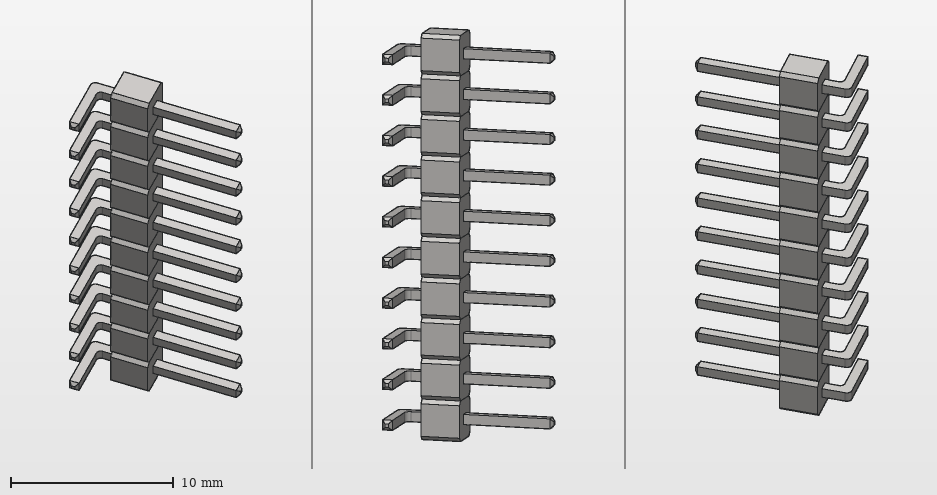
import cadquery as cq

UNIT_COUNT = 10
COLUMN_HEIGHT = 25.4
PITCH = COLUMN_HEIGHT / UNIT_COUNT

BLOCK_START = 1.83
BLOCK_LENGTH = 2.46
BLOCK_DEPTH = 2.41
BLOCK_CHAMFER = 0.25

PIN_THICKNESS = 0.64
PIN_REACH = 10.0
LEG_TIP_TO_BLOCK_BACK = 4.8
LEG_REACH = LEG_TIP_TO_BLOCK_BACK - BLOCK_DEPTH / 2
OUTER_BEND_RADIUS = 0.33
INNER_BEND_RADIUS = 0.3
TIP_CHAMFER = 0.2


def make_block():
    """Block centred on Y and Z, chamfered along its four edges parallel to X."""
    return (
        cq.Workplane("XY")
        .box(BLOCK_LENGTH, BLOCK_DEPTH, PITCH, centered=(False, True, True))
        .edges("|X")
        .chamfer(BLOCK_CHAMFER)
        .translate((BLOCK_START, 0, 0))
    )


def make_pin():
    """L-shaped square pin with a rounded bend and a tapered tip at both ends."""
    half = PIN_THICKNESS / 2
    outline = [
        (0, half),
        (PIN_REACH, half),
        (PIN_REACH, -half),
        (PIN_THICKNESS, -half),
        (PIN_THICKNESS, -LEG_REACH),
        (0, -LEG_REACH),
    ]
    pin = cq.Workplane("XY").polyline(outline).close().extrude(half, both=True)

    outer_corner = cq.selectors.NearestToPointSelector((0, half, 0))
    inner_corner = cq.selectors.NearestToPointSelector((PIN_THICKNESS, -half, 0))
    pin = pin.edges("|Z").edges(outer_corner).fillet(OUTER_BEND_RADIUS)
    pin = pin.edges("|Z").edges(inner_corner).fillet(INNER_BEND_RADIUS)

    pin = pin.faces(">X").chamfer(TIP_CHAMFER)
    return pin.faces("<Y").chamfer(TIP_CHAMFER)


def make_header_unit():
    """One header unit: the block and its pin form a single solid."""
    return make_block().union(make_pin()).solids().val()


header_unit = make_header_unit()
header_units = []
for index in range(UNIT_COUNT):
    center_z = (index + 0.5) * PITCH
    header_units.append(header_unit.translate(cq.Vector(0, 0, center_z)))

result = cq.Compound.makeCompound(header_units)